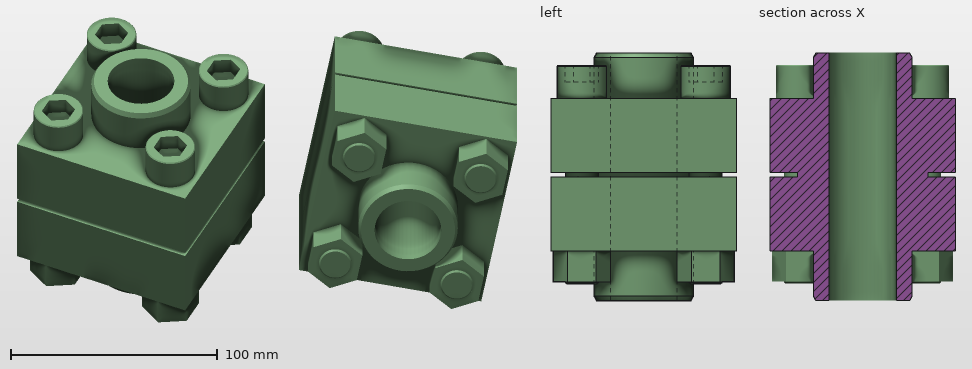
import cadquery as cq
import math

plate_side = 90.0
plate_thickness = 36.0
plate_gap = 2.0

total_height = 120.0
neck_diameter = 48.2
bore_diameter = 32.3
lower_neck_length = 24.0
bevel_height = 2.3
bevel_angle = 30.0

raised_face_diameter = 63.5

bolt_spacing = 60.0
shank_diameter = 16.0
head_diameter = 24.0
head_height = 16.0
head_chamfer = 0.5
socket_across_flats = 14.0
socket_depth = 8.0
shank_protrusion = 1.0
shank_chamfer = 0.7

nut_across_flats = 24.0
nut_height = 14.9

bottom_z = -total_height / 2
lower_plate_bottom_z = bottom_z + lower_neck_length
lower_plate_top_z = lower_plate_bottom_z + plate_thickness
upper_plate_bottom_z = lower_plate_top_z + plate_gap
upper_plate_top_z = upper_plate_bottom_z + plate_thickness
top_z = total_height / 2


def plate(base_z):
    """Square flange plate standing on base_z."""
    return cq.Workplane("XY", origin=(0, 0, base_z)).rect(plate_side, plate_side).extrude(plate_thickness)


def cylinder(diameter, base_z, end_z):
    """Round bar on the Z axis."""
    return cq.Workplane("XY", origin=(0, 0, base_z)).circle(diameter / 2).extrude(end_z - base_z)


def hexagon(across_flats, base_z, end_z):
    """Hexagonal prism on the Z axis with two corners on the Y axis."""
    across_corners = across_flats / math.cos(math.radians(30))
    prism = cq.Workplane("XY", origin=(0, 0, base_z)).polygon(6, across_corners).extrude(end_z - base_z)
    return prism.rotate((0, 0, 0), (0, 0, 1), 90)


def beveled_pipe():
    """Outer pipe body over the full height, with a weld bevel at each end."""
    neck_radius = neck_diameter / 2
    end_radius = neck_radius - bevel_height * math.tan(math.radians(bevel_angle))
    half_profile = [
        (0, bottom_z),
        (end_radius, bottom_z),
        (neck_radius, bottom_z + bevel_height),
        (neck_radius, top_z - bevel_height),
        (end_radius, top_z),
        (0, top_z),
    ]
    return cq.Workplane("XZ").polyline(half_profile).close().revolve(360, (0, 0), (0, 1))


def bolt_with_nut():
    """Socket head bolt and hexagon nut on the Z axis, clamping both plates."""
    head_top_z = upper_plate_top_z + head_height
    nut_bottom_z = lower_plate_bottom_z - nut_height
    head = cylinder(head_diameter, upper_plate_top_z, head_top_z).faces(">Z").chamfer(head_chamfer)
    socket = hexagon(socket_across_flats, head_top_z - socket_depth, head_top_z)
    shank = cylinder(shank_diameter, nut_bottom_z - shank_protrusion, upper_plate_top_z)
    shank = shank.faces("<Z").chamfer(shank_chamfer)
    nut = hexagon(nut_across_flats, nut_bottom_z, lower_plate_bottom_z)
    return shank.union(head.cut(socket)).union(nut)


body = plate(lower_plate_bottom_z).union(plate(upper_plate_bottom_z))
body = body.union(cylinder(raised_face_diameter, lower_plate_top_z, upper_plate_bottom_z))
body = body.union(beveled_pipe())

bolt = bolt_with_nut()
for x_side in (-1, 1):
    for y_side in (-1, 1):
        body = body.union(bolt.translate((x_side * bolt_spacing / 2, y_side * bolt_spacing / 2, 0)))

result = body.cut(cylinder(bore_diameter, bottom_z, top_z))